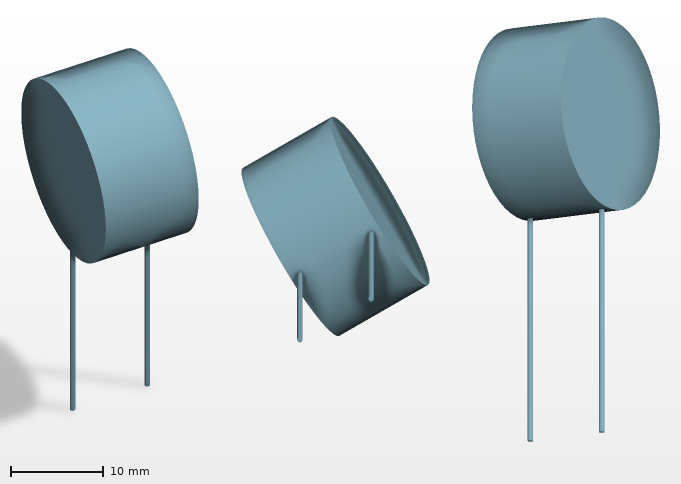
import cadquery as cq

total_height = 45.7
body_diameter = 21.0
body_thickness = 11.2

lead_diameter = 0.6
lead_spacing = 9.0

body_radius = body_diameter / 2
lead_insertion = 1.35
lead_top_z = lead_insertion - body_radius
lead_end_z = body_radius - total_height


def make_body():
    """Disc with its axis along Y, centred on the origin."""
    front_face = cq.Workplane("XZ", origin=(0, -body_thickness / 2, 0))
    return front_face.circle(body_radius).extrude(-body_thickness)


def make_lead(y):
    """Straight round wire running up along Z into the disc."""
    return (
        cq.Workplane("XY", origin=(0, y, lead_end_z))
        .circle(lead_diameter / 2)
        .extrude(lead_top_z - lead_end_z)
    )


leads = [make_lead(side * lead_spacing / 2) for side in (-1, 1)]

body = make_body()
for lead in leads:
    body = body.cut(lead)

result = cq.Compound.makeCompound([body.val(), *[lead.val() for lead in leads]])